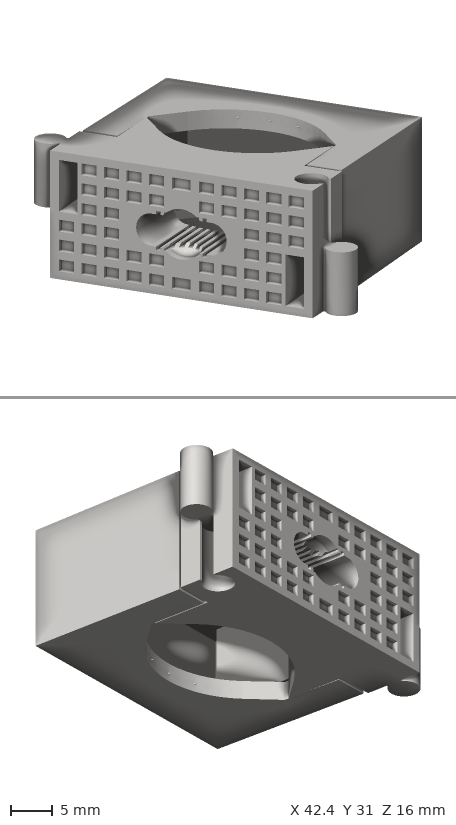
import cadquery as cq
import math

OVERALL_WIDTH = 42.4
OVERALL_HEIGHT = 31.0
DEPTH = 16.0

BASE_WIDTH = 34.65
BASE_HEIGHT = 8.0
PEDESTAL_HALF_WIDTH = 12.37
LEG_THICKNESS = 2.45
LEG_DEPTH = 10.5
LEG_TOP = 27.38

KNOB_RADIUS = 1.95
KNOB_X = OVERALL_WIDTH / 2 - KNOB_RADIUS
LINK_Y = BASE_HEIGHT / 2
NECK_WIDTH = 2.1
SOCKET_RADIUS = 2.05
SOCKET_X = 15.25

OPENING_BOTTOM = 8.55
OPENING_CENTRE = 16.5
OPENING_RADIUS = 12.25
FLANK_ANGLE = math.radians(47.5)
TANGENT_X = OPENING_RADIUS * math.sin(FLANK_ANGLE)
TANGENT_RISE = OPENING_RADIUS * (1 - math.cos(FLANK_ANGLE))
FLANK_RISE = (PEDESTAL_HALF_WIDTH - TANGENT_X) * math.tan(FLANK_ANGLE)
PEDESTAL_TOP = OPENING_BOTTOM + TANGENT_RISE + FLANK_RISE

SPIKE_SPACING = 4.0
SPIKE_HEIGHT = 0.35
SPIKE_ROOT = 0.2
SPIKE_RADIUS = 0.2

CAP_BOTTOM = 8.5
CAP_WIDTH = 34.15
DRAFT = 0.5
NOTCH_BOTTOM_HALF_WIDTH = 12.5
PLATE_THICKNESS = 2.3
BACK_WALL = 1.27
CAVITY_WIDTH = 29.9
CAVITY_DEPTH = 11.0
SPIKE_Z = (DEPTH - PLATE_THICKNESS) / 2

POCKET_WIDTH = 2.0
POCKET_HEIGHT = 1.5
POCKET_CUT = 0.68
POCKET_DRAFT = 4.0
POCKET_FIRST_X = 3.3
POCKET_PITCH_X = 2.95
POCKET_PITCH_Z = 2.5
COLUMNS = 5
COLUMNS_BY_SLOT = 2
ROWS = 6
OUTER_ROW_Z = (ROWS - 1) / 2 * POCKET_PITCH_Z
CENTRE_POCKET_WIDTH = 2.4
TALL_POCKET_WIDTH = 2.4
TALL_POCKET_HEIGHT = 2 * POCKET_PITCH_Z + POCKET_HEIGHT
TALL_POCKET_OFFSET = 1.5 * POCKET_PITCH_Z
TALL_POCKET_CUT = 6.35
TALL_POCKET_DRAFT = 2.0

SLOT_LENGTH = 11.95
SLOT_HEIGHT = 4.05
GROOVE_PITCH = 1.0
GROOVE_WIDTH = 0.55
GROOVED_HEIGHT = 4.9
GROOVES_PER_SIDE = 3
COUNTERBORE_RADIUS = 3.18
COUNTERBORE_CUT = 1.4
COUNTERSINK_CUT = 1.8
COUNTERSINK_RADIUS = 2.0


def block(x_min, x_max, y_min, y_max, z_min, z_max):
    """Box between two opposite corners."""
    size = (x_max - x_min, y_max - y_min, z_max - z_min)
    return cq.Workplane("XY").box(*size, centered=False).translate((x_min, y_min, z_min))


def face_plane(y):
    """Plane parallel to the mounting face; its normal points into the part (+Y)."""
    return cq.Workplane(cq.Plane(origin=(0, y, 0), xDir=(1, 0, 0), normal=(0, 1, 0)))


def pedestal():
    """Middle of the base, hollowed on top into the lower half of the cable opening."""
    tangent_y = OPENING_BOTTOM + TANGENT_RISE
    return (
        cq.Workplane("XY", origin=(0, 0, -DEPTH / 2))
        .moveTo(-PEDESTAL_HALF_WIDTH, 0)
        .lineTo(PEDESTAL_HALF_WIDTH, 0)
        .lineTo(PEDESTAL_HALF_WIDTH, PEDESTAL_TOP)
        .lineTo(TANGENT_X, tangent_y)
        .threePointArc((0, OPENING_BOTTOM), (-TANGENT_X, tangent_y))
        .lineTo(-PEDESTAL_HALF_WIDTH, PEDESTAL_TOP)
        .close()
        .extrude(DEPTH)
    )


def link_prism(side, centre_x, radius, neck_end_x, z_min):
    """Half-depth cylinder with a flat neck, used for knobs and, as a cutter, for sockets."""
    height = DEPTH / 2
    cylinder = cq.Workplane("XY", origin=(side * centre_x, LINK_Y, z_min)).circle(radius).extrude(height)
    x_min, x_max = sorted((side * centre_x, side * neck_end_x))
    neck = block(x_min, x_max, LINK_Y - NECK_WIDTH / 2, LINK_Y + NECK_WIDTH / 2, z_min, z_min + height)
    return cylinder.union(neck)


def leg(side):
    """Upright finger beside the pedestal that reaches into the hollow cap."""
    inner = side * PEDESTAL_HALF_WIDTH
    outer = side * (PEDESTAL_HALF_WIDTH + LEG_THICKNESS)
    x_min, x_max = sorted((inner, outer))
    return block(x_min, x_max, 0, LEG_TOP, -LEG_DEPTH / 2, LEG_DEPTH / 2)


def spikes(direction):
    """Three cones on each edge of the opening; direction is +1 on the base and -1 on the cap."""
    cones = cq.Workplane("XY")
    for step in (-1, 0, 1):
        x = step * SPIKE_SPACING
        sag = OPENING_RADIUS - math.sqrt(OPENING_RADIUS**2 - x**2)
        wall_y = OPENING_CENTRE - direction * (OPENING_CENTRE - OPENING_BOTTOM - sag)
        for z in (-SPIKE_Z, SPIKE_Z):
            cone = cq.Solid.makeCone(
                SPIKE_RADIUS,
                0,
                SPIKE_ROOT + SPIKE_HEIGHT,
                cq.Vector(x, wall_y - direction * SPIKE_ROOT, z),
                cq.Vector(0, direction, 0),
            )
            cones = cones.add(cone)
    return cones


def pocket_centres():
    """Centres of the small pockets, leaving room for the screw slot and the tall pockets."""
    centres = []
    for row in range(ROWS):
        z = row * POCKET_PITCH_Z - OUTER_ROW_Z
        beside_slot = abs(z) < POCKET_PITCH_Z
        for column in range(COLUMNS):
            for side in (-1, 1):
                blocked_by_slot = beside_slot and column < COLUMNS_BY_SLOT
                in_tall_pocket = column == COLUMNS - 1 and side * z < 0
                if not blocked_by_slot and not in_tall_pocket:
                    centres.append((side * (POCKET_FIRST_X + column * POCKET_PITCH_X), z))
    return centres


def face_pockets():
    """Cutter for the grid of shallow pockets."""
    sketch_points = [(x, -z) for x, z in pocket_centres()]
    grid = (
        face_plane(0)
        .pushPoints(sketch_points)
        .rect(POCKET_WIDTH, POCKET_HEIGHT)
        .extrude(POCKET_CUT, taper=POCKET_DRAFT)
    )
    centre = (
        face_plane(0)
        .pushPoints([(0, -OUTER_ROW_Z), (0, OUTER_ROW_Z)])
        .rect(CENTRE_POCKET_WIDTH, POCKET_HEIGHT)
        .extrude(POCKET_CUT, taper=POCKET_DRAFT)
    )
    return grid.union(centre)


def tall_pocket(side):
    """Cutter for a deep, drafted pocket on the knob half of one end."""
    last_column = POCKET_FIRST_X + (COLUMNS - 1) * POCKET_PITCH_X
    x = side * (last_column + POCKET_WIDTH / 2 - TALL_POCKET_WIDTH / 2)
    return (
        face_plane(0)
        .center(x, side * TALL_POCKET_OFFSET)
        .rect(TALL_POCKET_WIDTH, TALL_POCKET_HEIGHT)
        .extrude(TALL_POCKET_CUT, taper=TALL_POCKET_DRAFT)
    )


def screw_slot():
    """Cutter for the grooved through slot with its counterbore and countersink."""
    slot = face_plane(0).slot2D(SLOT_LENGTH, SLOT_HEIGHT).extrude(PEDESTAL_TOP)
    steps = range(-GROOVES_PER_SIDE, GROOVES_PER_SIDE + 1)
    grooves = (
        face_plane(0)
        .pushPoints([(step * GROOVE_PITCH, 0) for step in steps])
        .rect(GROOVE_WIDTH, GROOVED_HEIGHT)
        .extrude(PEDESTAL_TOP)
    )
    counterbore = face_plane(0).circle(COUNTERBORE_RADIUS).extrude(COUNTERBORE_CUT)
    countersink = cq.Solid.makeCone(
        COUNTERBORE_RADIUS,
        COUNTERSINK_RADIUS,
        COUNTERSINK_CUT,
        cq.Vector(0, COUNTERBORE_CUT, 0),
        cq.Vector(0, 1, 0),
    )
    return slot.union(grooves).union(counterbore).union(countersink)


def make_base():
    half = BASE_WIDTH / 2
    base = block(-half, half, 0, BASE_HEIGHT, -DEPTH / 2, DEPTH / 2).union(pedestal())
    for side in (-1, 1):
        knob_z = 0 if side < 0 else -DEPTH / 2
        socket_z = -DEPTH / 2 - knob_z
        base = base.union(leg(side))
        base = base.union(link_prism(side, KNOB_X, KNOB_RADIUS, half, knob_z))
        base = base.cut(link_prism(side, SOCKET_X, SOCKET_RADIUS, half, socket_z))
        base = base.cut(tall_pocket(side))
    for spike in spikes(1).vals():
        base = base.union(cq.Workplane(spike))
    return base.cut(face_pockets()).cut(screw_slot())


def cap_notch():
    """Cutter for the pedestal notch and the upper half of the cable opening."""
    tangent_y = 2 * OPENING_CENTRE - OPENING_BOTTOM - TANGENT_RISE
    flank_y = 2 * OPENING_CENTRE - PEDESTAL_TOP
    return (
        cq.Workplane("XY", origin=(0, 0, -DEPTH / 2))
        .moveTo(-NOTCH_BOTTOM_HALF_WIDTH, CAP_BOTTOM)
        .lineTo(NOTCH_BOTTOM_HALF_WIDTH, CAP_BOTTOM)
        .lineTo(PEDESTAL_HALF_WIDTH, flank_y)
        .lineTo(TANGENT_X, tangent_y)
        .threePointArc((0, 2 * OPENING_CENTRE - OPENING_BOTTOM), (-TANGENT_X, tangent_y))
        .lineTo(-PEDESTAL_HALF_WIDTH, flank_y)
        .close()
        .extrude(DEPTH)
    )


def make_cap():
    height = OVERALL_HEIGHT - CAP_BOTTOM
    shell = face_plane(CAP_BOTTOM).rect(CAP_WIDTH, DEPTH).extrude(height, taper=DRAFT)
    cavity = face_plane(CAP_BOTTOM).rect(CAVITY_WIDTH, CAVITY_DEPTH).extrude(height - BACK_WALL)
    cap = shell.cut(cavity).cut(cap_notch())
    for spike in spikes(-1).vals():
        cap = cap.union(cq.Workplane(spike))
    return cap


base = make_base()
cap = make_cap()
result = cq.Compound.makeCompound([base.solids().val(), cap.solids().val()])